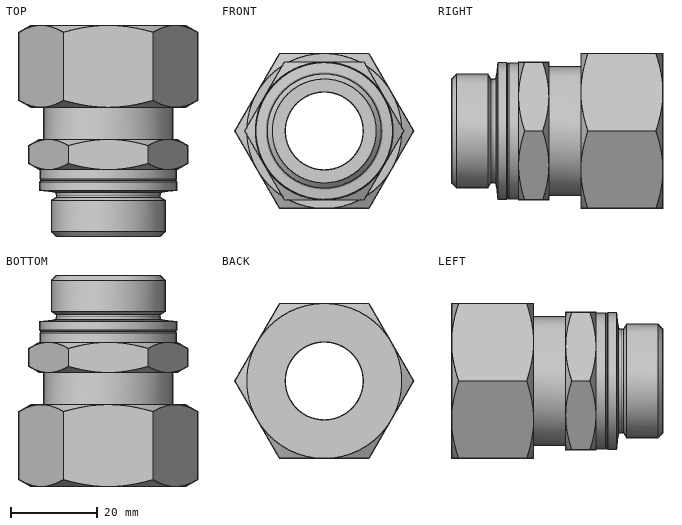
import cadquery as cq
import math

total_length = 49.0
thread_chamfer = 1.2
thread_back = 8.4
relief_front = 9.1
relief_middle = 9.55
relief_back = 10.25
seat_face = 10.5
collar_face = 10.75
seal_groove_front = 12.7
seal_groove_bottom = 13.0
seal_groove_back = 13.35
body_hex_front = 15.55
body_hex_back = 22.55
nut_front = 30.0

nut_flats = 36.0
body_hex_flats = 32.0
bore_radius = 9.0
thread_radius = 13.25
relief_radius = 12.05
relief_back_radius = 12.15
seat_radius = 13.5
collar_radius = 15.95
seal_groove_radius = 15.65
rear_collar_radius = 15.85
neck_radius = 15.0
hex_chamfer_angle = 30.0


def revolve_about_y(points):
    """Revolve a closed (radius, y) profile about the Y axis."""
    return cq.Workplane("XY").polyline(points).close().revolve(360, (0, 0, 0), (0, 1, 0))


def chamfered_hex(flats, front, back):
    """Hexagonal prism along Y with its corners turned to cones at both ends."""
    flat_radius = flats / 2
    corner_radius = flat_radius / math.cos(math.radians(30))
    cone_length = (corner_radius - flat_radius) * math.tan(math.radians(hex_chamfer_angle))
    prism = (
        cq.Workplane("XZ", origin=(0, back, 0))
        .polygon(6, 2 * corner_radius)
        .extrude(back - front)
    )
    cone_envelope = revolve_about_y([
        (0, front),
        (flat_radius, front),
        (corner_radius, front + cone_length),
        (corner_radius, back - cone_length),
        (flat_radius, back),
        (0, back),
    ])
    return prism.intersect(cone_envelope)


turned_body = revolve_about_y([
    (0, 0),
    (thread_radius - thread_chamfer, 0),
    (thread_radius, thread_chamfer),
    (thread_radius, thread_back),
    (relief_radius, relief_front),
    (relief_radius, relief_middle),
    (relief_back_radius, relief_back),
    (seat_radius, seat_face),
    (collar_radius, collar_face),
    (collar_radius, seal_groove_front),
    (seal_groove_radius, seal_groove_bottom),
    (rear_collar_radius, seal_groove_back),
    (rear_collar_radius, body_hex_front),
    (neck_radius, body_hex_front),
    (neck_radius, nut_front),
    (0, nut_front),
])

body_hex = chamfered_hex(body_hex_flats, body_hex_front, body_hex_back)
nut = chamfered_hex(nut_flats, nut_front, total_length)

bore = cq.Workplane("XZ").circle(bore_radius).extrude(-total_length)

result = turned_body.union(body_hex).union(nut).cut(bore)